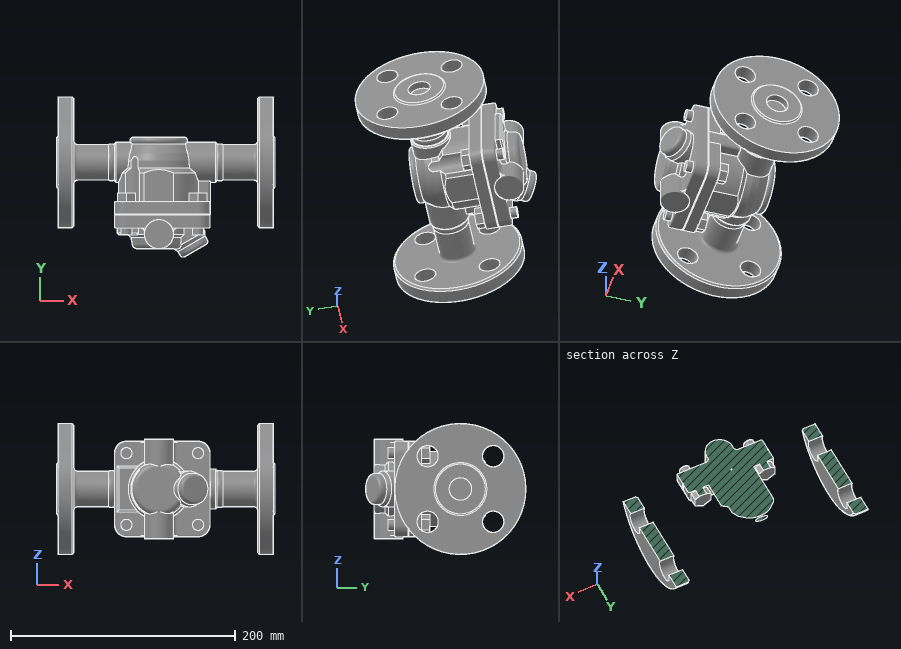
import cadquery as cq
import math

overall_length = 195.0
flange_diameter = 117.0
flange_thickness = 14.0
flange_edge_chamfer = 1.8
raised_face_height = 1.5
raised_face_diameter = 47.2
raised_face_chamfer = 1.4
flange_bolt_offset = 29.2
flange_bolt_hole_diameter = 19.0
bore_diameter = 20.0
bore_depth = 7.2
pipe_diameter = 32.0
pipe_root_fillet = 3.3
weld_length = 5.5
weld_bulge = 0.5
hub_diameter = 36.0
hub_end = 45.6
hub_chamfer = 1.2

body_x = -6.2
cap_back = 22.5
cap_radius = 25.7
cap_rim_y = 19.1
cap_face_radius = 23.4
cap_front = 16.5
groove_radius = 24.5
neck_back = 14.6
neck_radius = 26.5
waist_radius = 32.5
waist_back = 1.4
waist_front = -5.3
shoulder_y = 7.8
shoulder_radius = 30.6
barrel_radius = 36.0
barrel_back = -9.5
barrel_half_height = 33.5

plate_x = -3.1
plate_size = 85.5
plate_corner = 10.7
body_plate_back = -35.0
joint_y = -46.5
joint_groove_width = 0.8
joint_groove_depth = 0.4
cover_front = -58.7
plate_edge_fillet = 1.2
bolt_offset = 32.0
bolt_diameter = 10.0
bolt_end = -64.7
nut_back = -27.3
nut_width = 16.0
nut_clearance_diameter = 23.4

lug_left = 28.7
lug_right = 40.0
lug_back = -16.5
lug_height = 15.6
lug_fillet = 2.7

dome_front = -77.2
dome_radius = 25.0
dome_shoulder_radius = 24.0
dome_fillet = 5.0
dome_flare_y = -67.0
dome_foot_y = -64.4
dome_foot_radius = 27.5
boss_diameter = 26.0
boss_length = 89.0
boss_setback = 0.2
boss_edge_fillet = 0.4
boss_x = -6.0
web_half_width = 16.2
web_length = 83.0
web_front = -62.2
web_flare_fraction = 0.3
pad_left = -43.5
pad_height = 41.3
pad_front = -64.7
pad_chamfer = 1.8
plug_tilt = 30.0
plug_face_x = 26.5
plug_face_y = -78.8
plug_diameter = 28.0
plug_edge_fillet = 3.1
plug_length = 23.4
collar_diameter = 32.0
collar_setback = 7.0
collar_taper_length = 3.9


def cylinder_y(x, z, diameter, y_back, y_front):
    """Cylinder along Y between a back (+Y) and a front (-Y) end."""
    base = cq.Workplane("XZ", origin=(x, y_back, z))
    return base.circle(diameter / 2).extrude(y_back - y_front)


def block(x_min, x_max, y_min, y_max, height):
    """Box centred on Z = 0."""
    box = cq.Workplane("XY").box(x_max - x_min, y_max - y_min, height)
    return box.translate(((x_min + x_max) / 2, (y_min + y_max) / 2, 0))


def make_pipe_end():
    """Flange, pipe, weld bead and hub on the +X side."""
    face_x = overall_length / 2
    flange_front = face_x - raised_face_height
    flange_back = flange_front - flange_thickness
    pipe_radius = pipe_diameter / 2
    weld_end = hub_end + weld_length
    raised_radius = raised_face_diameter / 2
    flange_radius = flange_diameter / 2
    hub_radius = hub_diameter / 2
    arc_drop = pipe_root_fillet * (1 - math.sqrt(0.5))
    end = (
        cq.Workplane("XY")
        .moveTo(0, 0)
        .lineTo(0, hub_radius)
        .lineTo(hub_end - hub_chamfer, hub_radius)
        .lineTo(hub_end, hub_radius - hub_chamfer)
        .lineTo(hub_end, pipe_radius)
        .threePointArc((hub_end + weld_length / 2, pipe_radius + weld_bulge), (weld_end, pipe_radius))
        .lineTo(flange_back - pipe_root_fillet, pipe_radius)
        .threePointArc(
            (flange_back - arc_drop, pipe_radius + arc_drop),
            (flange_back, pipe_radius + pipe_root_fillet),
        )
        .lineTo(flange_back, flange_radius - flange_edge_chamfer)
        .lineTo(flange_back + flange_edge_chamfer, flange_radius)
        .lineTo(flange_front, flange_radius)
        .lineTo(flange_front, raised_radius)
        .lineTo(face_x, raised_radius - raised_face_chamfer)
        .lineTo(face_x, 0)
        .close()
        .revolve(360, (0, 0, 0), (1, 0, 0))
    )
    holes = (
        cq.Workplane("YZ", origin=(flange_back, 0, 0))
        .rect(2 * flange_bolt_offset, 2 * flange_bolt_offset, forConstruction=True)
        .vertices()
        .circle(flange_bolt_hole_diameter / 2)
        .extrude(flange_thickness)
    )
    return end.cut(holes)


def make_bore():
    """Blind bore in the +X flange face."""
    bore = cq.Workplane("YZ", origin=(overall_length / 2 - bore_depth, 0, 0))
    return bore.circle(bore_diameter / 2).extrude(bore_depth)


def make_body():
    """Turned body with flats above and below and a clearance groove at each left nut."""
    turned = (
        cq.Workplane("XY")
        .moveTo(0, cap_back)
        .lineTo(cap_face_radius, cap_back)
        .threePointArc((cap_radius, cap_rim_y), (groove_radius, cap_front))
        .lineTo(neck_radius, neck_back)
        .lineTo(shoulder_radius, shoulder_y)
        .lineTo(waist_radius, waist_back)
        .lineTo(waist_radius, waist_front)
        .lineTo(barrel_radius, barrel_back)
        .lineTo(barrel_radius, joint_y)
        .lineTo(0, joint_y)
        .close()
        .revolve(360, (0, 0, 0), (0, 1, 0))
        .translate((body_x, 0, 0))
    )
    envelope = block(
        body_x - barrel_radius, body_x + barrel_radius, joint_y, cap_back, 2 * barrel_half_height
    )
    body = turned.intersect(envelope)

    nut_x = plate_x - bolt_offset
    for z_side in (-1, 1):
        groove = cylinder_y(
            nut_x, z_side * bolt_offset, nut_clearance_diameter, cap_front, body_plate_back
        )
        body = body.cut(groove)
    return body


def make_plates():
    """Body flange and cover plate, with softened edges and a fine groove along the joint."""
    plates = block(
        plate_x - plate_size / 2, plate_x + plate_size / 2, cover_front, body_plate_back, plate_size
    )
    plates = plates.edges("|Y").fillet(plate_corner)
    plates = plates.faces("|Y").edges().fillet(plate_edge_fillet)
    groove_back = joint_y + joint_groove_width / 2
    groove_front = joint_y - joint_groove_width / 2
    half = plate_size / 2
    groove = block(plate_x - half, plate_x + half, groove_front, groove_back, plate_size)
    inner_half = half - joint_groove_depth
    core = block(plate_x - inner_half, plate_x + inner_half, groove_front, groove_back, 2 * inner_half)
    core = core.edges("|Y").fillet(plate_corner - joint_groove_depth)
    return plates.cut(groove.cut(core))


def make_fastener(x, z):
    """Bolt end in front of the cover and a hexagon nut behind the body flange."""
    across_corners = nut_width / math.cos(math.pi / 6)
    nut = (
        cq.Workplane("XZ", origin=(x, nut_back, z))
        .transformed(rotate=(0, 0, 30))
        .polygon(6, across_corners)
        .extrude(nut_back - joint_y)
    )
    return nut.union(cylinder_y(x, z, bolt_diameter, joint_y, bolt_end))


def make_lug():
    """Rounded lug running from the outlet hub to the body flange."""
    lug = block(lug_left, lug_right, joint_y, lug_back, lug_height)
    return lug.edges("|Y").fillet(lug_fillet)


def make_bosses():
    """Vertical boss through the cover, with a web that flares onto the cover plate."""
    boss_radius = boss_diameter / 2
    boss_y = dome_front + boss_setback + boss_radius
    boss = cq.Workplane("XY", origin=(boss_x, boss_y, 0)).circle(boss_radius)
    boss = boss.extrude(boss_length / 2, both=True)
    boss = boss.faces("|Z").edges().fillet(boss_edge_fillet)
    tangent_x = math.sqrt(boss_radius**2 - (web_front - boss_y) ** 2)
    flare_mid_x = tangent_x + web_flare_fraction * (web_half_width - tangent_x)
    flare_mid_y = cover_front + web_flare_fraction * (web_front - cover_front)
    web = (
        cq.Workplane("XY", origin=(boss_x, 0, 0))
        .moveTo(-web_half_width, joint_y)
        .lineTo(-web_half_width, cover_front)
        .threePointArc((-flare_mid_x, flare_mid_y), (-tangent_x, web_front))
        .lineTo(tangent_x, web_front)
        .threePointArc((flare_mid_x, flare_mid_y), (web_half_width, cover_front))
        .lineTo(web_half_width, joint_y)
        .close()
        .extrude(web_length / 2, both=True)
    )
    return boss.union(web)


def make_dome():
    """Turned dome with a rounded front edge and a flared foot on the cover plate."""
    return (
        cq.Workplane("XY")
        .moveTo(0, joint_y)
        .lineTo(dome_foot_radius, joint_y)
        .lineTo(dome_foot_radius, dome_foot_y)
        .lineTo(dome_radius, dome_flare_y)
        .lineTo(dome_shoulder_radius, dome_front + dome_fillet)
        .radiusArc((dome_shoulder_radius - dome_fillet, dome_front), dome_fillet)
        .lineTo(0, dome_front)
        .close()
        .revolve(360, (0, 0, 0), (0, 1, 0))
        .translate((body_x, 0, 0))
    )


def make_label_pad():
    """Raised rectangular pad on the left of the cover, running into the dome."""
    pad = block(pad_left, body_x, pad_front, joint_y, pad_height)
    return pad.faces("<Y").edges("<X or <Z or >Z").chamfer(pad_chamfer)


def make_strainer_plug():
    """Plug and collar that lean from the cover front toward +X."""
    tilt = math.radians(plug_tilt)
    inward = (-math.sin(tilt), math.cos(tilt), 0)
    plane = cq.Plane(origin=(plug_face_x, plug_face_y, 0), xDir=(0, 0, 1), normal=inward)
    plug = cq.Workplane(plane).circle(plug_diameter / 2).extrude(plug_length)
    front_face = cq.selectors.DirectionMinMaxSelector(cq.Vector(inward), False)
    plug = plug.faces(front_face).edges().fillet(plug_edge_fillet)
    collar_step = (collar_diameter - plug_diameter) / 2
    collar = (
        cq.Workplane(plane)
        .workplane(offset=collar_setback)
        .circle(collar_diameter / 2)
        .extrude(plug_length - collar_setback)
    )
    collar = collar.faces(front_face).edges().chamfer(collar_taper_length, collar_step)
    return plug.union(collar)


result = make_body()
pipe_end = make_pipe_end()
result = result.union(pipe_end).union(pipe_end.mirror("YZ"))
result = result.union(make_lug()).union(make_plates())
for x_side in (-1, 1):
    for z_side in (-1, 1):
        result = result.union(make_fastener(plate_x + x_side * bolt_offset, z_side * bolt_offset))
result = result.union(make_label_pad()).union(make_bosses()).union(make_dome())
result = result.union(make_strainer_plug())
bore = make_bore()
result = result.cut(bore).cut(bore.mirror("YZ"))